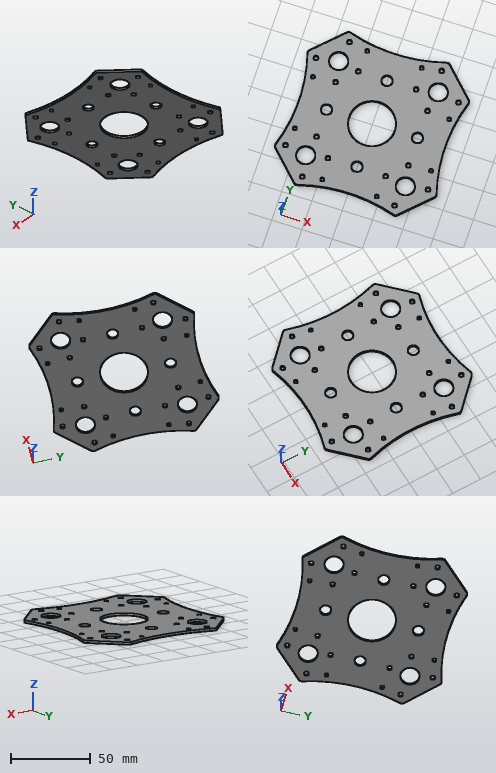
import cadquery as cq
import math

side = 106.5
thickness = 1.7
waist = 48.4
corner_reach = 61.3
corner_radius = 2.5

centre_bore = 30.0
axis_hole = 7.0
axis_hole_distance = 30.0

corner_bore = 12.0
corner_bore_offset = 32.9
mount_hole = 3.0
outer_mount = (47.1, 30.5)
inner_mount = (30.4, 19.1)
edge_hole = 2.5
edge_hole_place = (45.0, 18.0)

round_y = side / 2 - corner_radius
round_x = (corner_reach - corner_radius) * math.sqrt(2) - round_y

drop = round_y - waist
hollow_radius = (round_x**2 + drop**2 - corner_radius**2) / (2 * (corner_radius + drop))
hollow_centre_y = waist + hollow_radius


def quarter_turns(x, y):
    """The point turned about the plate centre by 0, 90, 180 and 270 degrees."""
    return [(x, y), (-y, x), (-x, -y), (y, -x)]


def mirrored_turns(x, y):
    """All eight places of a point under the symmetry of a square."""
    return quarter_turns(x, y) + quarter_turns(y, x)


def on_round(angle):
    """Point of the upper right rounded corner at an angle in degrees."""
    turn = math.radians(angle)
    return (
        round_x + corner_radius * math.cos(turn),
        round_y + corner_radius * math.sin(turn),
    )


def make_plate():
    diagonal_angle = 45
    hollow_angle = math.degrees(math.atan2(hollow_centre_y - round_y, -round_x))
    cut_end = on_round(diagonal_angle)
    round_middle = on_round((diagonal_angle + hollow_angle) / 2)
    hollow_start = on_round(hollow_angle)

    sides = zip(
        quarter_turns(*cut_end),
        quarter_turns(*round_middle),
        quarter_turns(*hollow_start),
        quarter_turns(0, waist),
        quarter_turns(-hollow_start[0], hollow_start[1]),
        quarter_turns(-round_middle[0], round_middle[1]),
        quarter_turns(-cut_end[0], cut_end[1]),
    )
    outline = cq.Workplane("XY").moveTo(cut_end[1], cut_end[0])
    for cut, mid_in, start, middle, end, mid_out, next_cut in sides:
        outline = outline.lineTo(*cut)
        outline = outline.threePointArc(mid_in, start)
        outline = outline.threePointArc(middle, end)
        outline = outline.threePointArc(mid_out, next_cut)
    return outline.close().extrude(thickness)


def drill(plate, places, diameter):
    return plate.faces(">Z").workplane(origin=(0, 0, 0)).pushPoints(places).hole(diameter)


result = make_plate()
result = drill(result, [(0, 0)], centre_bore)
result = drill(result, quarter_turns(axis_hole_distance, 0), axis_hole)
result = drill(result, quarter_turns(corner_bore_offset, corner_bore_offset), corner_bore)
result = drill(result, mirrored_turns(*outer_mount), mount_hole)
result = drill(result, mirrored_turns(*inner_mount), mount_hole)
result = drill(result, mirrored_turns(*edge_hole_place), edge_hole)